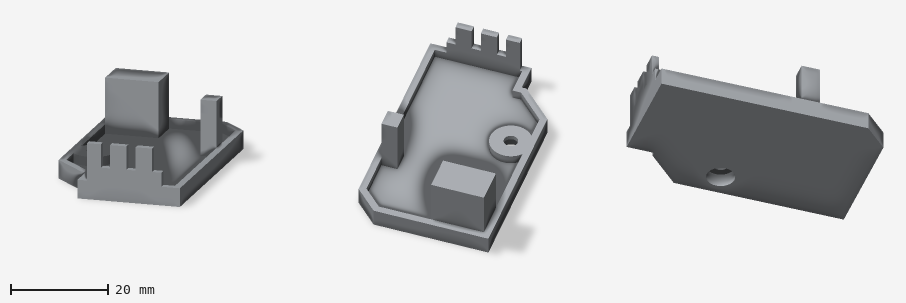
import cadquery as cq

LENGTH = 50.0
WIDTH = 30.0
RIM_HEIGHT = 4.0
FLOOR_THICKNESS = 2.0
WALL = 1.5

BACK_CHAMFER = 5.0
FRONT_CHAMFER = 7.0
NOTCH_WIDTH = 8.0
NOTCH_DEPTH = 6.0

SUPPORT_TOP = 14.0
BLOCK_WIDTH = 11.5
BLOCK_LENGTH = 7.5
POST_WIDTH = 3.5
POST_LENGTH = 4.0
POST_FRONT = 31.0

COMB_LEFT = 10.0
COMB_RIGHT = 26.0
COMB_TOP = 12.0
SLOT_BOTTOM = 7.0
SLOT_WIDTH = 2.0
SLOT_PITCH = 5.5
SLOT_COUNT = 3

SPACER_X = 5.0
SPACER_Y = 21.5
SPACER_RADIUS = 4.5
BORE_RADIUS = 1.5
COUNTERBORE_RADIUS = 3.0
COUNTERBORE_DEPTH = 3.0


def box(x, y, z, width, length, height):
    """Box given by its lowest corner and its size."""
    return cq.Workplane("XY").box(width, length, height, centered=False).translate((x, y, z))


def cylinder(radius, bottom, top):
    """Vertical cylinder on the spacer axis."""
    base = cq.Workplane("XY", origin=(SPACER_X, SPACER_Y, bottom))
    return base.circle(radius).extrude(top - bottom)


def outline():
    """Outer edge of the tray, with two chamfered corners and a front notch."""
    return cq.Workplane("XY").polyline([
        (NOTCH_WIDTH, 0),
        (WIDTH, 0),
        (WIDTH, LENGTH - BACK_CHAMFER),
        (WIDTH - BACK_CHAMFER, LENGTH),
        (0, LENGTH),
        (0, NOTCH_DEPTH + FRONT_CHAMFER),
        (FRONT_CHAMFER, NOTCH_DEPTH),
        (NOTCH_WIDTH, NOTCH_DEPTH),
    ]).close()


def make_shell():
    """Shallow tray with a wall of even thickness."""
    pocket = outline().offset2D(-WALL, "intersection").extrude(RIM_HEIGHT - FLOOR_THICKNESS)
    return outline().extrude(RIM_HEIGHT).cut(pocket.translate((0, 0, FLOOR_THICKNESS)))


def make_block():
    """Large block in the back left corner of the pocket."""
    back = LENGTH - WALL
    height = SUPPORT_TOP - FLOOR_THICKNESS
    return box(WALL, back - BLOCK_LENGTH, FLOOR_THICKNESS, BLOCK_WIDTH, BLOCK_LENGTH, height)


def make_post():
    """Slim post against the right wall."""
    left = WIDTH - WALL - POST_WIDTH
    height = SUPPORT_TOP - FLOOR_THICKNESS
    return box(left, POST_FRONT, FLOOR_THICKNESS, POST_WIDTH, POST_LENGTH, height)


def make_comb():
    """Slotted plate on the front wall; the last slot leaves its right end open."""
    comb = box(COMB_LEFT, 0, RIM_HEIGHT, COMB_RIGHT - COMB_LEFT, WALL, COMB_TOP - RIM_HEIGHT)
    for index in range(SLOT_COUNT):
        slot_left = COMB_RIGHT - SLOT_WIDTH - index * SLOT_PITCH
        comb = comb.cut(box(slot_left, 0, SLOT_BOTTOM, SLOT_WIDTH, WALL, COMB_TOP - SLOT_BOTTOM))
    return comb


def make_counterbore():
    """Recess for a screw head, running up from the underside into the spacer."""
    return cylinder(COUNTERBORE_RADIUS, 0, COUNTERBORE_DEPTH)


def make_tray():
    """Tray with its block, post and comb, a seat for the spacer and the counterbore below it."""
    tray = make_shell().union(make_block()).union(make_post()).union(make_comb())
    spacer_seat = cylinder(SPACER_RADIUS, FLOOR_THICKNESS, RIM_HEIGHT)
    return tray.cut(spacer_seat).cut(make_counterbore())


def make_spacer():
    """Counterbored ring on the pocket floor, flush with the rim."""
    ring = cylinder(SPACER_RADIUS, FLOOR_THICKNESS, RIM_HEIGHT)
    bore = cylinder(BORE_RADIUS, FLOOR_THICKNESS, RIM_HEIGHT)
    return ring.cut(bore).cut(make_counterbore())


tray = make_tray()
spacer = make_spacer()

result = cq.Compound.makeCompound([tray.val(), spacer.val()])